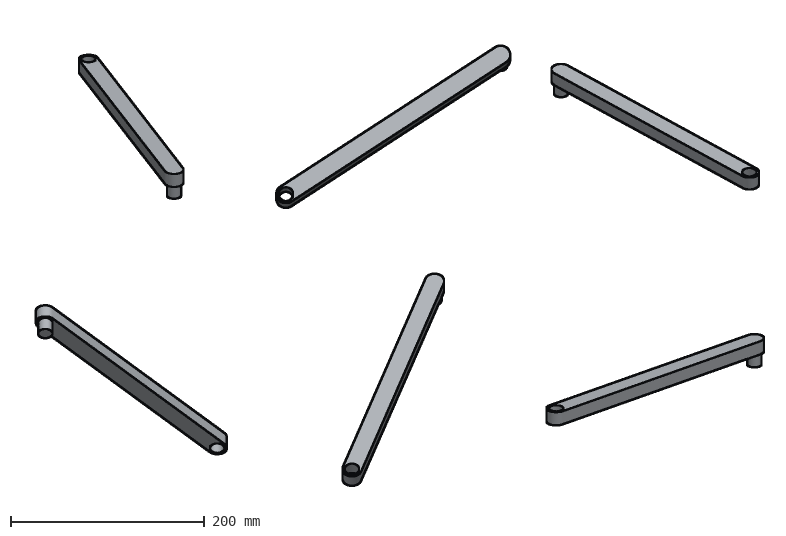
import cadquery as cq

overall_length = 288.9
arm_width = 20.0
arm_thickness = 15.0
hole_diameter = 15.0
pin_diameter = 15.0
pin_length = 15.0

center_distance = overall_length - arm_width


def make_arm():
    """Flat bar with full-round ends, underside on Z = 0, hole end at the origin."""
    return (
        cq.Workplane("XY")
        .center(center_distance / 2, 0)
        .slot2D(overall_length, arm_width)
        .extrude(arm_thickness)
    )


def add_pin(arm):
    """Round pin hanging below the +X end of the arm."""
    pin = (
        cq.Workplane("XY")
        .center(center_distance, 0)
        .circle(pin_diameter / 2)
        .extrude(-pin_length)
    )
    return arm.union(pin)


def cut_hole(arm):
    """Through hole at the -X end of the arm."""
    hole = cq.Workplane("XY").circle(hole_diameter / 2).extrude(arm_thickness)
    return arm.cut(hole)


result = cut_hole(add_pin(make_arm()))